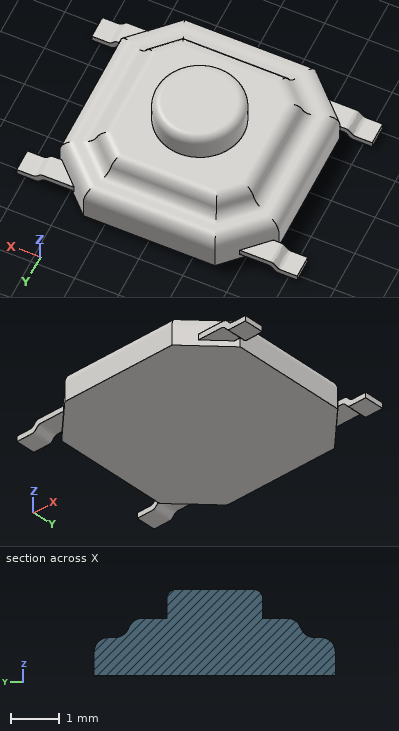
import cadquery as cq
import math

lead_span = 6.4
body_width = 5.0
total_height = 1.8

corner_cut = 1.0
rim_height = 0.5
edge_radius = 0.3
step_blend_height = 0.2
plateau_inset = 1.0
half_width = body_width / 2
half_diagonal = (body_width - corner_cut) / math.sqrt(2)
ledge_height = rim_height + edge_radius
plateau_height = ledge_height + 2 * step_blend_height

button_radius = 1.0
button_edge_radius = 0.2

lead_width = 0.525
lead_outer_y = 2.11
lead_thickness = 0.15
lead_rise = 0.15
lead_inner_x = 1.6
foot_length = 0.365
bend_run = 0.25
underside_shift = lead_thickness * math.tan(math.radians(22.5))


def stepped_bar(half_span, angle):
    """Long bar with the rounded, stepped section, turned about Z."""
    length = 2 * body_width
    turn = math.acos(1 - step_blend_height / edge_radius)
    blend_run = edge_radius * math.sin(turn)
    half_rise = edge_radius * (1 - math.cos(turn / 2))
    half_run = edge_radius * math.sin(turn / 2)
    rim_x = half_span - edge_radius
    rim_arc_offset = edge_radius * math.sqrt(0.5)
    plateau_x = half_span - plateau_inset
    middle_x = plateau_x + blend_run
    ledge_x = middle_x + blend_run

    half_section = (
        cq.Workplane("XZ")
        .lineTo(half_span, 0)
        .lineTo(half_span, rim_height)
        .threePointArc(
            (rim_x + rim_arc_offset, rim_height + rim_arc_offset),
            (rim_x, ledge_height),
        )
        .lineTo(ledge_x, ledge_height)
        .threePointArc(
            (ledge_x - half_run, ledge_height + half_rise),
            (middle_x, ledge_height + step_blend_height),
        )
        .threePointArc(
            (plateau_x + half_run, plateau_height - half_rise),
            (plateau_x, plateau_height),
        )
        .lineTo(0, plateau_height)
        .close()
        .extrude(length / 2, both=True)
    )
    bar = half_section.union(half_section.mirror("YZ"))
    return bar.rotate((0, 0, 0), (0, 0, 1), angle)


def make_body():
    """Four crossed bars leave the mitred octagon where they all overlap."""
    body = stepped_bar(half_width, 0)
    body = body.intersect(stepped_bar(half_width, 90))
    for angle in (45, -45):
        body = body.intersect(stepped_bar(half_diagonal, angle))
    return body


def make_button():
    return (
        cq.Workplane("XY")
        .circle(button_radius)
        .extrude(total_height)
        .faces(">Z")
        .edges()
        .fillet(button_edge_radius)
    )


def make_lead():
    """Lead on the -X, +Y side: flat foot, smooth S-bend, then a level arm."""
    tip_x = -lead_span / 2
    bend_start_x = tip_x + foot_length
    bend_end_x = bend_start_x + bend_run
    arm_top = lead_rise + lead_thickness
    inward = (1, 0)
    outward = (-1, 0)

    return (
        cq.Workplane("XZ", origin=(0, lead_outer_y, 0))
        .moveTo(tip_x, 0)
        .lineTo(bend_start_x + underside_shift, 0)
        .spline(
            [(bend_end_x + underside_shift, lead_rise)],
            tangents=[inward, inward],
            includeCurrent=True,
        )
        .lineTo(-lead_inner_x, lead_rise)
        .lineTo(-lead_inner_x, arm_top)
        .lineTo(bend_end_x, arm_top)
        .spline(
            [(bend_start_x, lead_thickness)],
            tangents=[outward, outward],
            includeCurrent=True,
        )
        .lineTo(tip_x, lead_thickness)
        .close()
        .extrude(lead_width)
    )


result = make_body().union(make_button())
left_lead = make_lead()
for lead in (left_lead, left_lead.mirror("YZ")):
    result = result.union(lead).union(lead.mirror("XZ"))